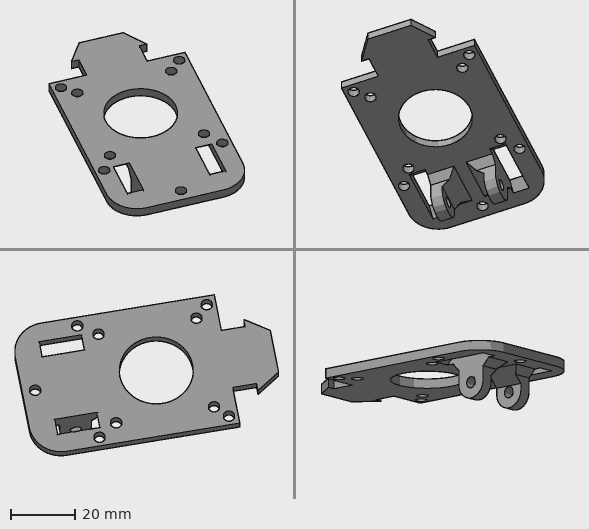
import cadquery as cq

length = 80.0
width = 45.0
thickness = 3.0
corner_radius = 10.0

head_length = 7.5
tab_length = 2 * head_length
neck_width = 20.0
head_width = 25.0
tip_width = 14.6

screw_diameter = 3.5
bore_diameter = 23.0
bore_x = 37.5
motor_screw_spacing = 31.0
outer_screw_xs = (18.0, 59.0)
outer_screw_y = 19.5
end_screw_x = 75.9

lug_x = 65.0
lug_radius = corner_radius / 2
lug_drop = 12.0
lug_outer_y = 11.0
lug_thickness = 3.9
lug_hole_diameter = 3.5
flare = 2.5
gusset = 5.0

slot_length = 13.3
slot_width = 5.3


def make_plate():
    body = (
        cq.Workplane("XY")
        .box(length - tab_length, width, thickness, centered=(False, True, False))
        .translate((tab_length, 0, 0))
        .edges("|Z and >X")
        .fillet(corner_radius)
    )
    upper_edge = [
        (tab_length, neck_width / 2),
        (head_length, neck_width / 2),
        (head_length, head_width / 2),
        (0, tip_width / 2),
    ]
    lower_edge = [(x, -y) for x, y in reversed(upper_edge)]
    tab = cq.Workplane("XY").polyline(upper_edge + lower_edge).close().extrude(thickness)
    return body.union(tab)


def cut_round_holes(plate):
    motor_offset = motor_screw_spacing / 2
    screws = [(end_screw_x, 0)]
    for side in (-1, 1):
        screws += [(x, side * outer_screw_y) for x in outer_screw_xs]
        screws += [(bore_x + end * motor_offset, side * motor_offset) for end in (-1, 1)]
    screw_holes = cq.Workplane("XY").pushPoints(screws).circle(screw_diameter / 2).extrude(thickness)
    bore = cq.Workplane("XY").center(bore_x, 0).circle(bore_diameter / 2).extrude(thickness)
    return plate.cut(screw_holes).cut(bore)


def cut_slots(plate):
    """Slots whose ends slope outward at 45 degrees towards the underside."""
    top_half = slot_length / 2
    bottom_half = top_half + thickness
    slot = (
        cq.Workplane("XZ", origin=(lug_x, lug_outer_y, 0))
        .polyline([
            (-bottom_half, 0),
            (bottom_half, 0),
            (top_half, thickness),
            (-top_half, thickness),
        ])
        .close()
        .extrude(-slot_width)
    )
    return plate.cut(slot).cut(slot.mirror("XZ"))


def make_lug():
    """Lug on the +Y side: the side outline limited by the gusseted cross-section."""
    pivot_z = lug_radius - lug_drop
    left_x = lug_x - lug_radius
    right_x = lug_x + lug_radius
    outline = (
        cq.Workplane("XZ")
        .moveTo(left_x - flare, 0)
        .lineTo(left_x, -flare)
        .lineTo(left_x, pivot_z)
        .threePointArc((lug_x, -lug_drop), (right_x, pivot_z))
        .lineTo(right_x, -flare)
        .lineTo(right_x + flare, 0)
        .close()
        .extrude(-lug_outer_y)
    )
    pivot_hole = (
        cq.Workplane("XZ")
        .center(lug_x, pivot_z)
        .circle(lug_hole_diameter / 2)
        .extrude(-lug_outer_y)
    )
    inner_y = lug_outer_y - lug_thickness
    section = (
        cq.Workplane("YZ")
        .polyline([
            (lug_outer_y, 0),
            (lug_outer_y, -lug_drop),
            (inner_y, -lug_drop),
            (inner_y, -gusset),
            (inner_y - gusset, 0),
        ])
        .close()
        .extrude(length)
    )
    return outline.cut(pivot_hole).intersect(section)


plate = cut_slots(cut_round_holes(make_plate()))
lug = make_lug()
result = plate.union(lug).union(lug.mirror("XZ"))